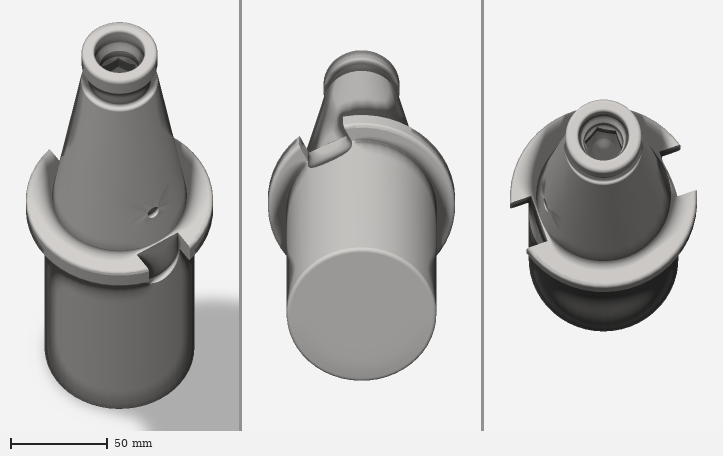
import cadquery as cq
import math

total_height = 264.8
gauge_to_tail_end = 126.8
gauge_height = total_height - gauge_to_tail_end

body_radius = 78.0 / 2
body_edge_fillet = 2.0

flange_radius = 97.5 / 2
flange_thickness = 12.4
flange_top = 135.0
flange_bottom = flange_top - flange_thickness
flange_edge_fillet = 2.0

corner_fillet = 0.6

taper_ratio = 7.0 / 24.0
gauge_radius = 69.85 / 2
relief_width = 1.6
relief_depth = 0.8
taper_base = flange_top + relief_width
taper_top = 240.0
taper_edge_fillet = 1.2

tail_neck_radius = 32.6 / 2
tail_head_radius = 39.6 / 2
tail_head_length = 11.5
tail_head_bottom = total_height - tail_head_length
tail_head_top_fillet = 2.0
tail_head_bottom_fillet = 1.5

slot_width = 25.7
slot_radius = slot_width / 2
slot_floor_distance = 35.4
slot_bottom = 106.3

bore_radius = 13.1
bore_depth = 9.8
bore_mouth_fillet = 1.4
bore_bottom_fillet = 1.0
narrow_bore_radius = 10.4
upper_cone_length = 4.0
narrow_bore_length = 5.0

hexagon_across_flats = 17.2
hexagon_depth = 8.0
hexagon_corner_diameter = hexagon_across_flats * 2 / math.sqrt(3)
lower_cone_length = narrow_bore_radius - hexagon_across_flats / 2
socket_floor_radius = 5.8
socket_cone_slope = math.radians(30)
socket_cone_length = (narrow_bore_radius - socket_floor_radius) * math.tan(socket_cone_slope)

bore_bottom = total_height - bore_depth
narrow_bore_top = bore_bottom - upper_cone_length
narrow_bore_bottom = narrow_bore_top - narrow_bore_length
lower_cone_bottom = narrow_bore_bottom - lower_cone_length
socket_wall_bottom = narrow_bore_bottom - hexagon_depth
socket_floor = socket_wall_bottom - socket_cone_length

recess_radius = 7.0 / 2
recess_height = 158.5
recess_depth = 2.0

position_tolerance = 0.01


def taper_radius(height):
    return gauge_radius - (height - gauge_height) * taper_ratio / 2


def revolve_outline(points):
    """Solid of revolution about Z from (radius, height) points."""
    return cq.Workplane("XZ").polyline(points).close().revolve(360, (0, 0), (0, 1))


def fillet_ring(solid, radius, height, size):
    """Fillet the circular edge of the given radius at the given height."""

    def is_ring(edge):
        same_height = abs(edge.Center().z - height) < position_tolerance
        return same_height and abs(edge.radius() - radius) < position_tolerance

    return solid.newObject(solid.edges("%CIRCLE").filter(is_ring).vals()).fillet(size)


def make_shank():
    relief_radius = taper_radius(taper_base) - relief_depth
    shank = revolve_outline([
        (0, 0),
        (body_radius, 0),
        (body_radius, flange_bottom),
        (flange_radius, flange_bottom),
        (flange_radius, flange_top),
        (relief_radius, flange_top),
        (relief_radius, taper_base),
        (taper_radius(taper_base), taper_base),
        (taper_radius(taper_top), taper_top),
        (tail_neck_radius, taper_top),
        (tail_neck_radius, tail_head_bottom),
        (tail_head_radius, tail_head_bottom),
        (tail_head_radius, total_height),
        (0, total_height),
    ])
    ring_fillets = [
        (body_radius, 0, body_edge_fillet),
        (body_radius, flange_bottom, corner_fillet),
        (flange_radius, flange_bottom, flange_edge_fillet),
        (flange_radius, flange_top, flange_edge_fillet),
        (relief_radius, flange_top, corner_fillet),
        (taper_radius(taper_top), taper_top, taper_edge_fillet),
        (tail_neck_radius, taper_top, corner_fillet),
        (tail_neck_radius, tail_head_bottom, corner_fillet),
        (tail_head_radius, tail_head_bottom, tail_head_bottom_fillet),
        (tail_head_radius, total_height, tail_head_top_fillet),
    ]
    for radius, height, size in ring_fillets:
        shank = fillet_ring(shank, radius, height, size)
    return shank


def cut_bore(solid):
    bore = revolve_outline([
        (0, total_height),
        (bore_radius, total_height),
        (bore_radius, bore_bottom),
        (narrow_bore_radius, narrow_bore_top),
        (narrow_bore_radius, narrow_bore_bottom),
        (hexagon_across_flats / 2, lower_cone_bottom),
        (0, lower_cone_bottom),
    ])
    bore = fillet_ring(bore, bore_radius, bore_bottom, bore_bottom_fillet)
    return fillet_ring(solid.cut(bore), bore_radius, total_height, bore_mouth_fillet)


def make_socket():
    """Hexagon with corners on the Y axis, closed below by a cone and a flat floor."""
    hexagon = (
        cq.Workplane("XY", origin=(0, 0, socket_floor))
        .transformed(rotate=(0, 0, 90))
        .polygon(6, hexagon_corner_diameter)
        .extrude(narrow_bore_bottom - socket_floor)
    )
    drilled_end = revolve_outline([
        (0, narrow_bore_bottom),
        (narrow_bore_radius, narrow_bore_bottom),
        (narrow_bore_radius, socket_wall_bottom),
        (socket_floor_radius, socket_floor),
        (0, socket_floor),
    ])
    return hexagon.intersect(drilled_end)


def make_slot(side):
    """Round-ended slot through the flange into the body, on the +X (1) or -X (-1) side."""
    arc_center_height = slot_bottom + slot_radius
    return (
        cq.Workplane("YZ", origin=(side * slot_floor_distance, 0, 0))
        .moveTo(-slot_radius, flange_top)
        .lineTo(-slot_radius, arc_center_height)
        .threePointArc((0, slot_bottom), (slot_radius, arc_center_height))
        .lineTo(slot_radius, flange_top)
        .close()
        .extrude(side * flange_radius)
    )


def make_taper_recess():
    floor_distance = taper_radius(recess_height) - recess_depth
    return (
        cq.Workplane("YZ", origin=(floor_distance, 0, recess_height))
        .circle(recess_radius)
        .extrude(flange_radius - floor_distance)
    )


result = cut_bore(make_shank()).cut(make_socket())
for side in (-1, 1):
    result = result.cut(make_slot(side))
result = result.cut(make_taper_recess())